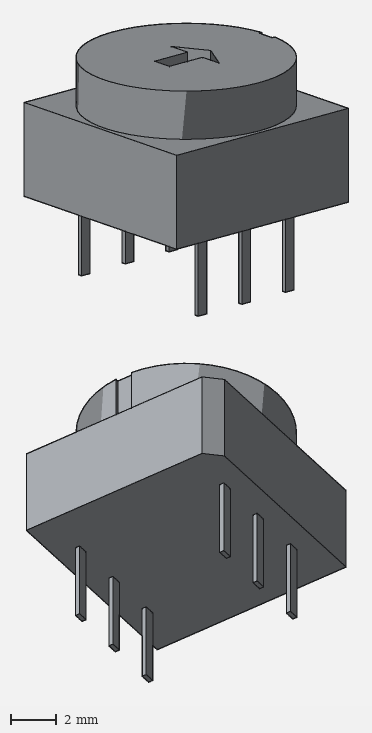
import cadquery as cq

body_side = 10.0
total_height = 10.3
corner_chamfer = 0.7
pin_length = 3.8
dial_height = 2.2
dial_diameter = 9.6

pin_thickness = 0.22
pin_width = 0.5
pin_pitch = 2.54
pin_row_spacing = 3 * pin_pitch
pins_per_row = 3

notch_width = 0.82
notch_floor_radius = 4.64

arrow_tip_y = 1.42
arrow_shoulder_y = 0.52
arrow_tail_y = -1.41
arrow_head_width = 3.15
arrow_stem_width = 0.97
arrow_depth = dial_height

body_top = total_height - dial_height


def make_block():
    """Square block with the -X +Y corner cut off."""
    return (
        cq.Workplane("XY")
        .workplane(offset=pin_length)
        .rect(body_side, body_side)
        .extrude(body_top - pin_length)
        .edges("|Z and <X and >Y")
        .chamfer(corner_chamfer)
    )


def make_dial():
    """Round dial standing on the body."""
    return (
        cq.Workplane("XY")
        .workplane(offset=body_top)
        .circle(dial_diameter / 2)
        .extrude(dial_height)
    )


def make_pins():
    """Two rows of flat pins hanging below the body."""
    return (
        cq.Workplane("XY")
        .rarray(pin_row_spacing, pin_pitch, 2, pins_per_row)
        .rect(pin_thickness, pin_width)
        .extrude(pin_length)
    )


def make_notch_cutter():
    """Rectangular notch through the full height of the +Y rim of the dial."""
    radial_length = body_side / 2 - notch_floor_radius
    return (
        cq.Workplane("XY")
        .workplane(offset=body_top)
        .center(0, notch_floor_radius + radial_length / 2)
        .rect(notch_width, radial_length)
        .extrude(dial_height)
    )


def make_arrow_cutter():
    """Arrow pointing to +Y, sunk from the dial top down to the block."""
    half_head = arrow_head_width / 2
    half_stem = arrow_stem_width / 2
    outline = [
        (0, arrow_tip_y),
        (half_head, arrow_shoulder_y),
        (half_stem, arrow_shoulder_y),
        (half_stem, arrow_tail_y),
        (-half_stem, arrow_tail_y),
        (-half_stem, arrow_shoulder_y),
        (-half_head, arrow_shoulder_y),
    ]
    return (
        cq.Workplane("XY")
        .workplane(offset=total_height - arrow_depth)
        .polyline(outline)
        .close()
        .extrude(arrow_depth)
    )


body = make_block()
dial = make_dial().cut(make_notch_cutter()).cut(make_arrow_cutter())
result = body.union(dial).union(make_pins())